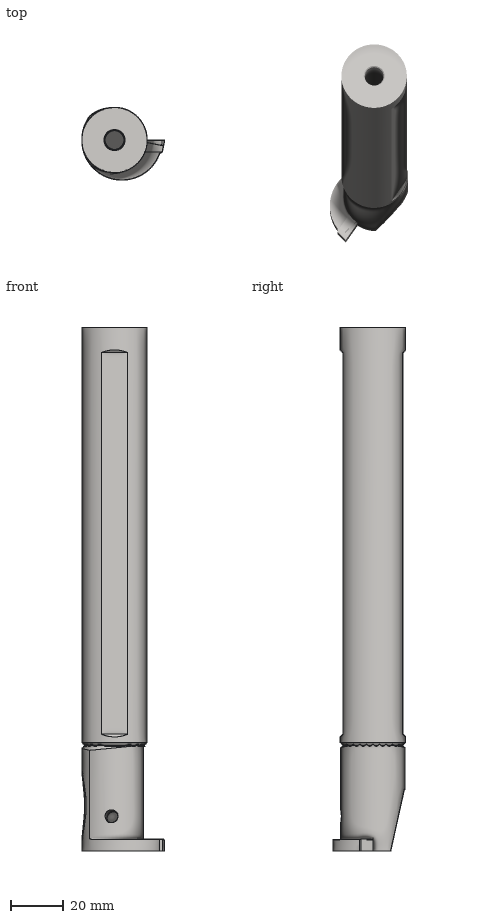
import cadquery as cq
import math

total_length = 199.87
bar_radius = 12.5
coupling_z = 40.3
coupling_chamfer = 1.2

serration_pitch = 2.5
serration_depth = 1.0
serration_count = 11

bore_diameter = 7.2
bore_chamfer = 0.4
flat_width = 10.0
flat_top = total_length - 9.6
flat_bottom = 44.6

disc_thickness = 4.3
disc_radius = 15.32
disc_center_x = disc_radius - bar_radius
body_radius = 12.31
body_center_x = -1.22
foot_fillet = 0.6
head_bore_bottom = 16.0

relief_top_y = 12.0
relief_top_z = 23.5
relief_bottom_y = 6.8

bevel_point = (-12.4, 1.0, 0.3)
bevel_normal = (-0.45, 0.5, -0.85)

tip_end_x = 19.18
tip_base_end_x = 18.3
tip_root_x = 8.0
tip_thickness = 4.5
tip_heel_y = -5.2
tip_land_root = 0.7
tip_land_end = 2.3
tip_land_drop = 0.4
tip_rise = 0.35

pocket_radius = 7.2
pocket_depth = 4.8
pocket_center_y = -0.9
pocket_center_z = 17.3
pocket_straight = 5.3
pocket_length = 26.9

duct_diameter = 2.5
duct_mouth = cq.Vector(-8.7, -0.6, 13.5)
duct_tilt = 37.0
duct_lead = 4.0
duct_length = 14.5

side_hole_diameter = 4.8
side_hole_x = -1.2
side_hole_z = 13.3
side_hole_depth = 6.0
side_hole_lead = 1.0
side_hole_drift = 0.13

span = 60.0


def cylinder(radius, bottom, top, x=0.0):
    return cq.Workplane("XY", origin=(x, 0, bottom)).circle(radius).extrude(top - bottom)


def minus_y_half():
    """Block filling all space on the -Y side of the bar axis."""
    return cq.Workplane("XY").box(span, span, span).translate((0, -span / 2, 0))


def below_coupling():
    """Block filling all space below the serrated joint surface."""
    half = serration_count * serration_pitch / 2
    low = coupling_z - serration_depth / 2
    high = coupling_z + serration_depth / 2
    outline = [(-half, -span), (-half, low)]
    for i in range(serration_count):
        start = -half + i * serration_pitch
        outline.append((start + serration_pitch / 2, high))
        outline.append((start + serration_pitch, low))
    outline.append((half, -span))
    return cq.Workplane("YZ").polyline(outline).close().extrude(span / 2, both=True)


def joint_envelope():
    """Shank outline above a wider head outline, narrowed by two 45 degree bevels that meet at the joint."""
    neck_radius = bar_radius - coupling_chamfer
    head_reach = 2 * bar_radius
    outline = [
        (0, 0),
        (head_reach, 0),
        (head_reach, coupling_z - (head_reach - neck_radius)),
        (neck_radius, coupling_z),
        (bar_radius, coupling_z + coupling_chamfer),
        (bar_radius, total_length),
        (0, total_length),
    ]
    return cq.Workplane("XZ").polyline(outline).close().revolve(360, (0, 0), (0, 1))


def shank_flat_cut(side):
    """Cut for one long flat, with 45 degree ends, on the +Y or -Y side."""
    flat_y = math.sqrt(bar_radius ** 2 - (flat_width / 2) ** 2)
    reach = bar_radius - flat_y
    outline = [
        (side * flat_y, flat_bottom),
        (side * flat_y, flat_top),
        (side * bar_radius, flat_top + reach),
        (side * bar_radius, flat_bottom - reach),
    ]
    return cq.Workplane("YZ").polyline(outline).close().extrude(bar_radius, both=True)


def make_shank():
    low = coupling_z - serration_depth
    shank = joint_envelope().intersect(cylinder(bar_radius, low, total_length))
    shank = shank.cut(below_coupling())
    for side in (-1, 1):
        shank = shank.cut(shank_flat_cut(side))
    shank = shank.cut(cylinder(bore_diameter / 2, low, total_length))
    mouth = cq.Workplane("XY", origin=(0, 0, total_length))
    mouth = mouth.circle(bore_diameter / 2 + bore_chamfer)
    mouth = mouth.workplane(offset=-bore_chamfer).circle(bore_diameter / 2).loft()
    return shank.cut(mouth)


def head_body():
    high = coupling_z + serration_depth
    body = cylinder(disc_radius, 0, high, disc_center_x)
    body = body.intersect(cylinder(body_radius, 0, high, body_center_x))
    body = body.intersect(joint_envelope())
    return body.intersect(below_coupling())


def head_disc():
    """Half disc on the -Y side, ending on the level of the cutting edge."""
    disc = cylinder(disc_radius, 0, disc_thickness, disc_center_x)
    return disc.intersect(minus_y_half())


def tip_heel():
    """Slanted wall that blends the base of the tip into the rim of the disc."""
    rim_x = disc_center_x + math.sqrt(disc_radius ** 2 - tip_heel_y ** 2)
    outline = [
        (tip_root_x, -tip_thickness),
        (tip_base_end_x, -tip_thickness),
        (rim_x, tip_heel_y),
        (tip_root_x, tip_heel_y),
    ]
    return cq.Workplane("XY").polyline(outline).close().extrude(disc_thickness)


def foot():
    """Concave fillet running around the head body on top of the disc."""
    top = disc_thickness + foot_fillet
    sag = foot_fillet * (1 - math.sqrt(0.5))
    profile = cq.Workplane("XZ", origin=(body_center_x, 0, 0)).moveTo(0, disc_thickness)
    profile = profile.lineTo(body_radius + foot_fillet, disc_thickness)
    profile = profile.threePointArc((body_radius + sag, disc_thickness + sag), (body_radius, top))
    ring = profile.lineTo(0, top).close().revolve(360, (0, 0), (0, 1))
    return ring.intersect(minus_y_half()).intersect(cylinder(disc_radius, 0, top, disc_center_x))


def cutting_tip():
    """Tip tapering away from its edge, with a sunken land along its edge."""
    top = disc_thickness + tip_rise
    outline = [
        (tip_root_x, 0),
        (tip_end_x, 0),
        (tip_base_end_x, -tip_thickness),
        (tip_root_x, -tip_thickness),
    ]
    tip = cq.Workplane("XY").polyline(outline).close().extrude(top)
    land_root_x = body_center_x + body_radius
    land_outline = [
        (land_root_x, 0),
        (tip_end_x, 0),
        (tip_end_x, -tip_land_end),
        (land_root_x, -tip_land_root),
    ]
    land = cq.Workplane("XY", origin=(0, 0, top - tip_land_drop)).polyline(land_outline).close()
    return tip.cut(land.extrude(tip_land_drop))


def side_relief_cut():
    """Sloped plane that thins the head towards its bottom on the +Y side."""
    outline = [(relief_bottom_y, 0), (relief_top_y, relief_top_z), (span, relief_top_z), (span, 0)]
    return cq.Workplane("YZ").polyline(outline).close().extrude(span / 2, both=True)


def corner_bevel_cut():
    """Bevel across the bottom corner on the -X, +Y side."""
    plane = cq.Plane(origin=bevel_point, xDir=(1, 1, 0), normal=bevel_normal)
    return cq.Workplane(plane).rect(span, span).extrude(span)


def pocket_cut():
    """Round-bottomed pocket: upright middle and two ends that run out."""
    half_straight = pocket_straight / 2
    run_out = (pocket_length - pocket_straight) / 2
    center = (pocket_depth - bar_radius - pocket_radius, pocket_center_y, pocket_center_z)
    base = cq.Plane(origin=center, xDir=(-1, 0, 0), normal=(0, 0, 1))
    pocket = cq.Workplane(base).circle(pocket_radius).extrude(half_straight, both=True)
    for direction in (-1, 1):
        end = cq.Workplane(base).workplane(offset=direction * half_straight)
        end = end.circle(pocket_radius).workplane(offset=direction * run_out)
        end = end.center(pocket_depth, 0).circle(pocket_radius).loft(ruled=True)
        pocket = pocket.union(end)
    return pocket


def duct_cut():
    tilt = math.radians(duct_tilt)
    axis = cq.Vector(math.sin(tilt), 0, math.cos(tilt))
    start = duct_mouth - axis * duct_lead
    return cq.Workplane(cq.Solid.makeCylinder(duct_diameter / 2, duct_length, start, axis))


def side_hole_cut():
    axis = cq.Vector(side_hole_drift, 1, -side_hole_drift)
    mouth = cq.Vector(side_hole_x, -bar_radius, side_hole_z)
    start = mouth - axis * side_hole_lead
    length = side_hole_depth + side_hole_lead
    return cq.Workplane(cq.Solid.makeCylinder(side_hole_diameter / 2, length, start, axis))


def make_head():
    head = head_body().union(head_disc()).union(foot())
    head = head.union(tip_heel()).union(cutting_tip())
    head = head.cut(side_relief_cut())
    head = head.cut(corner_bevel_cut())
    head = head.cut(cylinder(bore_diameter / 2, head_bore_bottom, coupling_z + serration_depth))
    head = head.cut(pocket_cut())
    head = head.cut(duct_cut())
    return head.cut(side_hole_cut())


shank = make_shank()
head = make_head()
result = cq.Compound.makeCompound([shank.val(), head.val()])